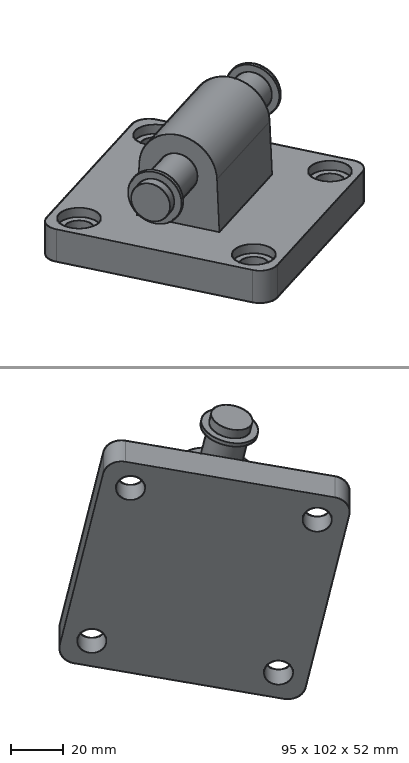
import cadquery as cq
import math

plate_side = 95.0
plate_height = 14.0
plate_corner_radius = 7.0

hole_spacing = 72.0
hole_diameter = 11.0
counterbore_diameter = 16.5
counterbore_depth = 4.0

total_height = 52.0
block_length = 50.0
block_foot_width = 34.0
crown_radius = 16.0
axis_height = total_height - crown_radius

pin_length = 102.0
pin_diameter = 16.0
ring_diameter = 22.0
ring_thickness = 1.6
ring_end_distance = 4.0


def cylinder_along_y(diameter, length, y_center):
    """Cylinder on the pin axis, centred at y_center."""
    return (
        cq.Workplane("XZ", origin=(0, y_center + length / 2, axis_height))
        .circle(diameter / 2)
        .extrude(length)
    )


def make_plate():
    return (
        cq.Workplane("XY")
        .rect(plate_side, plate_side)
        .extrude(plate_height)
        .edges("|Z")
        .fillet(plate_corner_radius)
        .faces(">Z")
        .workplane()
        .rect(hole_spacing, hole_spacing, forConstruction=True)
        .vertices()
        .cboreHole(hole_diameter, counterbore_diameter, counterbore_depth)
    )


def make_block():
    half_foot = block_foot_width / 2
    rise = axis_height - plate_height

    foot_distance = math.hypot(half_foot, rise)
    tangent_angle = math.acos(crown_radius / foot_distance) - math.atan2(rise, half_foot)
    tangent_x = crown_radius * math.cos(tangent_angle)
    tangent_z = axis_height + crown_radius * math.sin(tangent_angle)

    return (
        cq.Workplane("XZ")
        .moveTo(-half_foot, plate_height)
        .lineTo(half_foot, plate_height)
        .lineTo(tangent_x, tangent_z)
        .threePointArc((0, total_height), (-tangent_x, tangent_z))
        .close()
        .extrude(block_length / 2, both=True)
    )


result = make_plate().union(make_block())
result = result.union(cylinder_along_y(pin_diameter, pin_length, 0))

ring_center = pin_length / 2 - ring_end_distance - ring_thickness / 2
for side in (-1, 1):
    result = result.union(cylinder_along_y(ring_diameter, ring_thickness, side * ring_center))